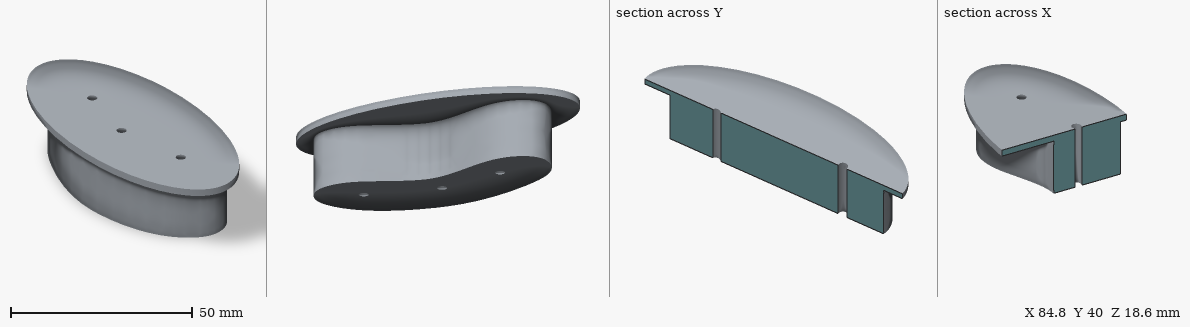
import cadquery as cq

plate_length = 84.8
plate_width = 40.0
plate_thickness = 2.0

total_height = 18.6
body_height = total_height - plate_thickness

hole_diameter = 2.8
hole_centers = [(-18.65, -0.7), (0.9, -4.5), (22.6, 0.25)]

body_outline = [
    (-34.35, 1.7),
    (-31.7, -5.85),
    (-22.05, -12.4),
    (-10.2, -16.5),
    (2.1, -18.2),
    (14.4, -16.6),
    (24.6, -12.9),
    (33.2, -5.9),
    (36.4, 1.95),
    (33.5, 8.1),
    (26.6, 10.85),
    (0.85, 3.4),
    (-26.3, 9.25),
    (-32.0, 6.9),
]


def make_plate():
    """Elliptical plate with its underside at Z = 0."""
    return cq.Workplane("XY").ellipse(plate_length / 2, plate_width / 2).extrude(plate_thickness)


def make_body():
    """Smooth kidney-shaped block hanging from the underside of the plate."""
    return cq.Workplane("XY").spline(body_outline, periodic=True).close().extrude(-body_height)


def make_holes():
    """Cylinders that cut the holes through the whole height."""
    return (
        cq.Workplane("XY")
        .workplane(offset=-body_height)
        .pushPoints(hole_centers)
        .circle(hole_diameter / 2)
        .extrude(total_height)
    )


result = make_plate().union(make_body()).cut(make_holes())